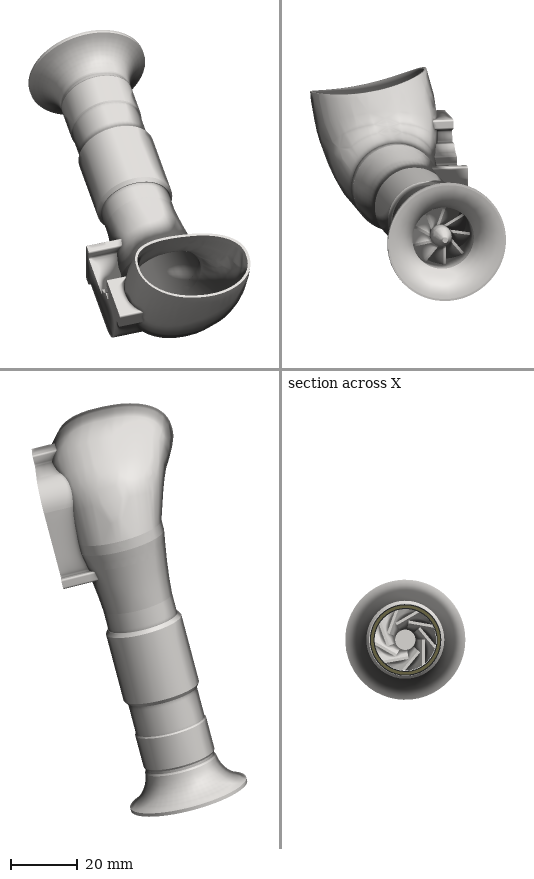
import cadquery as cq
import math


horn_radius = 18.0
horn_rim_width = 1.0
horn_lip = 0.6
horn_end = 10.3
horn_neck_radius = 11.0
horn_outer_bend = (3.7, 13.97)
horn_inner_bend = (2.2, 12.0)
throat_start = 6.2

bore_radius = 9.4
barrel_radius = 10.6
groove_start = 10.9
groove_end = 11.7
collar_start = 12.3
collar_end = 22.3
collar_radius = 11.0
collar_bevel = 0.5

wall = 0.8
flare_start = 62.1
flare_bend = (69.6, 11.3)
cone_start = 76.8
cone_start_radius = 12.4
pipe_end = 81.7
outlet_radius = 13.2

sleeve_start = 32.5
sleeve_end = 56.0
sleeve_radius = 11.7
sleeve_bevel_length = 1.2
sleeve_bevel_height = 0.8

blade_count = 9
blade_start = 11.5
blade_depth = 9.9
blade_end = blade_start + blade_depth
rotor_radius = 9.2
hub_radius = 3.0
nose_start = 2.8
nose_radius = 0.8
nose_length = 0.5
nose_bend = (5.8, 2.3)
blade_thickness = 0.8
blade_offset = 1.5
blade_angle = 20.0
blade_pitch = 35.0

ring_length = 3.2
bend_start = pipe_end + ring_length
section_points = 32
elbow_sections = [
    ((bend_start, outlet_radius), (bend_start, -outlet_radius), outlet_radius, -outlet_radius, 2.0),
    ((87.7, 15.3), (93.5, -11.2), 15.2, -13.8, 2.0),
    ((90.3, 17.8), (106.4, -3.9), 17.8, -15.4, 2.1),
    ((91.8, 21.6), (115.2, 10.9), 20.6, -16.3, 2.2),
    ((93.9, 28.1), (116.9, 24.5), 21.7, -14.8, 2.3),
    ((95.3, 35.1), (116.3, 35.1), 21.5, -12.3, 2.3),
]

rim_far = (29.2, 27.6)
rim_middle = (3.5, 27.0)
rim_near = (-19.9, 36.0)
rim_slope = 7.0
rim_pivot = (98.2, 28.1)
trim_top = 46.8
trim_length = 46.8

bracket_front = -20.1
bracket_back = -5.8
bracket_rounding = 0.6
foot_start = 73.2
foot_end = 76.2
foot_half_height = 7.5
arm_half_height = 4.6
flange_top = 17.2
flange_left = 96.2
flange_right = 111.7
flange_bottom = (110.7, 11.3)
stem_top = (107.7, 11.3)
stem_bottom = (105.7, 3.5)
arm_bend = (102.7, -2.1)
arm_bend_start = 96.7
step_start = 91.1
step_points = [(step_start, 7.1), (93.3, 8.0), (95.4, 10.0), (98.2, 10.0), (98.8, 13.6), (flange_left, 14.4)]


def revolved(profile):
    return profile.close().revolve(360, (0, 0, 0), (1, 0, 0))


def add_outlet_flare(profile):
    """Continue an outline from the end of the barrel along the outside of the flared outlet."""
    return (
        profile.lineTo(flare_start, barrel_radius)
        .threePointArc(flare_bend, (cone_start, cone_start_radius))
        .lineTo(pipe_end, outlet_radius)
    )


def make_pipe():
    outside = (
        cq.Workplane("XY")
        .moveTo(0, horn_radius - horn_lip)
        .lineTo(0, horn_radius)
        .lineTo(horn_rim_width, horn_radius)
        .threePointArc(horn_outer_bend, (horn_end, horn_neck_radius))
        .lineTo(groove_start, barrel_radius)
        .lineTo(groove_end, barrel_radius)
        .lineTo(collar_start, collar_radius)
        .lineTo(collar_end, collar_radius)
        .lineTo(collar_end + collar_bevel, barrel_radius)
    )
    return revolved(
        add_outlet_flare(outside)
        .lineTo(pipe_end, outlet_radius - wall)
        .lineTo(flare_start, bore_radius)
        .lineTo(throat_start, bore_radius)
        .threePointArc(horn_inner_bend, (0, horn_radius - horn_lip))
    )


def make_sleeve():
    end_radius = sleeve_radius - sleeve_bevel_height
    return revolved(
        cq.Workplane("XY")
        .moveTo(sleeve_start, barrel_radius)
        .lineTo(sleeve_start, end_radius)
        .lineTo(sleeve_start + sleeve_bevel_length, sleeve_radius)
        .lineTo(sleeve_end - sleeve_bevel_length, sleeve_radius)
        .lineTo(sleeve_end, end_radius)
        .lineTo(sleeve_end, barrel_radius)
    )


def make_hub():
    return revolved(
        cq.Workplane("XY")
        .moveTo(nose_start, 0)
        .lineTo(nose_start, nose_radius)
        .lineTo(nose_start + nose_length, nose_radius)
        .threePointArc(nose_bend, (blade_start, hub_radius))
        .lineTo(blade_end, hub_radius)
        .lineTo(blade_end, 0)
    )


def make_blade():
    front_low = blade_offset - blade_thickness / 2
    front_high = blade_offset + blade_thickness / 2
    drop = blade_depth * math.tan(math.radians(blade_pitch))
    slab = (
        cq.Workplane("XY")
        .moveTo(blade_start, front_low)
        .lineTo(blade_start, front_high)
        .lineTo(blade_end, front_high - drop)
        .lineTo(blade_end, front_low - drop)
        .close()
        .extrude(rotor_radius)
    )
    swept_cylinder = cq.Workplane("YZ", origin=(blade_start, 0, 0)).circle(rotor_radius).extrude(blade_depth)
    return slab.intersect(swept_cylinder)


def make_rotor():
    rotor = make_hub()
    blade = make_blade()
    for i in range(blade_count):
        angle = blade_angle + i * 360 / blade_count
        rotor = rotor.union(blade.rotate((0, 0, 0), (1, 0, 0), angle))
    return rotor


def signed_power(value, exponent):
    return math.copysign(abs(value) ** exponent, value)


def elbow_ring(section, inset):
    """Closed superellipse in the plane of one cross-section, moved inwards by the inset."""
    (inner_x, inner_z), (outer_x, outer_z), far_y, near_y, squareness = section
    span = math.hypot(inner_x - outer_x, inner_z - outer_z)
    direction = cq.Vector((inner_x - outer_x) / span, 0, (inner_z - outer_z) / span)
    centre = cq.Vector((inner_x + outer_x) / 2, (far_y + near_y) / 2, (inner_z + outer_z) / 2)
    half_span = span / 2 - inset
    half_width = (far_y - near_y) / 2 - inset
    points = []
    for i in range(section_points):
        angle = 2 * math.pi * i / section_points
        along = half_span * signed_power(math.cos(angle), 2 / squareness)
        across = half_width * signed_power(math.sin(angle), 2 / squareness)
        points.append(centre + direction * along - cq.Vector(0, across, 0))
    return cq.Wire.assembleEdges([cq.Edge.makeSpline(points, periodic=True)])


def solid_elbow(inset):
    """Elbow without a cavity or a trimmed mouth; an inset gives the shape of the cavity."""
    rings = [elbow_ring(section, inset) for section in elbow_sections]
    straight = cq.Solid.extrudeLinear(rings[0], [], cq.Vector(-ring_length, 0, 0))
    bend = cq.Solid.makeLoft(rings)
    return cq.Workplane(straight).union(cq.Workplane(bend))


def mouth_trim():
    """Everything above the rim."""
    pivot_x, pivot_z = rim_pivot
    return (
        cq.Workplane("YZ", origin=(pipe_end, 0, 0))
        .moveTo(*rim_far)
        .threePointArc(rim_middle, rim_near)
        .lineTo(rim_near[0], trim_top)
        .lineTo(rim_far[0], trim_top)
        .close()
        .extrude(trim_length)
        .rotate((pivot_x, 0, pivot_z), (pivot_x, 1, pivot_z), rim_slope)
    )


def make_elbow():
    return solid_elbow(0).cut(solid_elbow(wall)).cut(mouth_trim())


def make_bracket():
    outline = (
        cq.Workplane("XZ", origin=(0, bracket_back, 0))
        .moveTo(foot_start, -foot_half_height)
        .lineTo(foot_start, foot_half_height)
        .lineTo(foot_end, foot_half_height)
        .lineTo(foot_end, arm_half_height)
        .lineTo(step_start, arm_half_height)
    )
    for point in step_points:
        outline = outline.lineTo(*point)
    plate = (
        outline.lineTo(flange_left, flange_top)
        .lineTo(flange_right, flange_top)
        .lineTo(*flange_bottom)
        .lineTo(*stem_top)
        .lineTo(*stem_bottom)
        .threePointArc(arm_bend, (arm_bend_start, -arm_half_height))
        .lineTo(foot_end, -arm_half_height)
        .lineTo(foot_end, -foot_half_height)
        .close()
        .extrude(bracket_back - bracket_front)
        .edges("|Y")
        .fillet(bracket_rounding)
    )
    barrel_stub = cq.Workplane("XY").moveTo(flare_start, 0)
    solid_outlet = revolved(add_outlet_flare(barrel_stub).lineTo(pipe_end, 0))
    return plate.cut(solid_elbow(0)).cut(solid_outlet)


pipe = make_pipe()
sleeve = make_sleeve()
rotor = make_rotor()
elbow = make_elbow()
bracket = make_bracket()

result = cq.Compound.makeCompound([pipe.val(), sleeve.val(), rotor.val(), elbow.val(), bracket.val()])